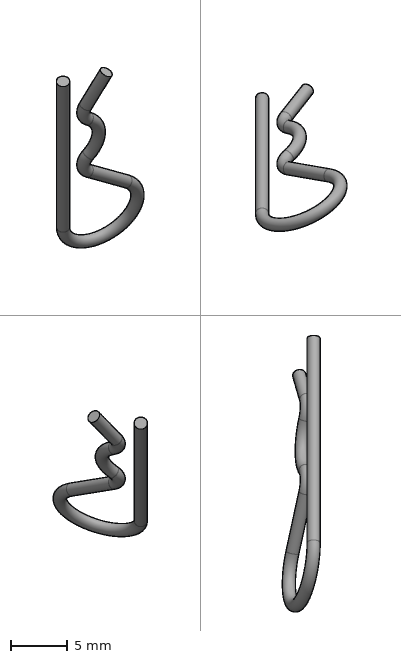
import cadquery as cq
import math

wire_diameter = 1.2
overall_height = 25.4
overall_depth = 8.7

loop_radius = (overall_depth - wire_diameter) / 2
leg_length = overall_height - loop_radius - wire_diameter / 2

wave_lean = 44.8
tip_lean = 30.0
ramp_length = 5.54
bend_radius = 1.63
cradle_radius = 3.73
tip_length = 4.2


def straight(path, heading, length):
    """Add a straight run; heading is in degrees from +Y towards +Z."""
    angle = math.radians(heading)
    return path.line(length * math.cos(angle), length * math.sin(angle))


def bend(path, heading, radius, turn):
    """Add an arc tangent to the heading; a positive turn is anticlockwise seen from +X."""
    signed_radius = math.copysign(radius, turn)
    start = math.radians(heading)
    _, start_y, start_z = path.val().endPoint().toTuple()

    def point_after(swept):
        end = math.radians(heading + swept)
        along_y = signed_radius * (math.sin(end) - math.sin(start))
        along_z = signed_radius * (math.cos(start) - math.cos(end))
        return start_y + along_y, start_z + along_z

    return path.threePointArc(point_after(turn / 2), point_after(turn))


down = -90.0
inward = 90.0 + wave_lean
outward = 90.0 - wave_lean
tip = 90.0 - tip_lean

centreline = cq.Workplane("YZ").moveTo(-loop_radius, leg_length)
centreline = straight(centreline, down, leg_length)
centreline = bend(centreline, down, loop_radius, inward - down)
centreline = straight(centreline, inward, ramp_length)
centreline = bend(centreline, inward, bend_radius, outward - inward)
centreline = bend(centreline, outward, cradle_radius, inward - outward)
centreline = bend(centreline, inward, bend_radius, tip - inward)
centreline = straight(centreline, tip, tip_length)

leg_top = cq.Workplane("XY", origin=(0, -loop_radius, leg_length))
result = leg_top.circle(wire_diameter / 2).sweep(centreline)